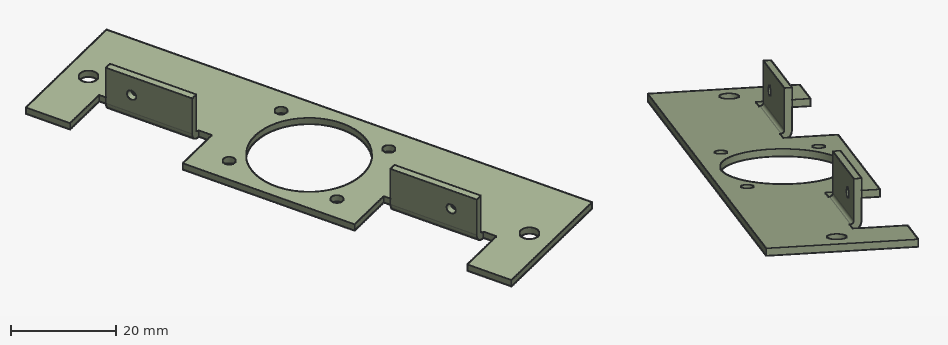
import cadquery as cq

plate_length = 108.0
plate_width = 29.6
thickness = 1.5

centre_bore_diameter = 24.0
screw_hole_diameter = 2.5
screw_spacing_x = centre_bore_diameter
screw_spacing_y = 19.0
mount_hole_diameter = 3.8
mount_spacing = 98.1

notch_offset = 31.6
notch_width = 25.1
notch_back_y = -4.1

tab_width = 19.2
tab_height = 10.5
tab_hole_offset = 35.5
tab_hole_height = 6.2
tab_hole_diameter = 2.0
bend_start_y = -4.3
bend_inner_radius = 0.6
bend_outer_radius = bend_inner_radius + thickness
tab_front_y = bend_start_y - bend_outer_radius
tab_back_y = tab_front_y + thickness


def make_plate():
    """Flat plate with its two notches and all vertical holes."""
    plate = cq.Workplane("XY").box(plate_length, plate_width, thickness, centered=(True, True, False))
    notch_depth = notch_back_y + plate_width / 2
    notch_centre_y = notch_back_y - notch_depth / 2
    notches = (
        cq.Workplane("XY")
        .pushPoints([(-notch_offset, notch_centre_y), (notch_offset, notch_centre_y)])
        .rect(notch_width, notch_depth)
        .extrude(thickness)
    )
    return (
        plate.cut(notches)
        .faces(">Z").workplane(origin=(0, 0, thickness))
        .hole(centre_bore_diameter)
        .rarray(screw_spacing_x, screw_spacing_y, 2, 2)
        .hole(screw_hole_diameter)
        .rarray(mount_spacing, 1.1, 2, 1)
        .hole(mount_hole_diameter)
    )


def make_tab(side):
    """Bent tab on the left (side = -1) or right (side = 1), with its cross hole."""
    profile = (
        cq.Workplane("YZ", origin=(side * notch_offset, 0, 0))
        .moveTo(notch_back_y, 0)
        .lineTo(bend_start_y, 0)
        .radiusArc((tab_front_y, bend_outer_radius), bend_outer_radius)
        .lineTo(tab_front_y, tab_height)
        .lineTo(tab_back_y, tab_height)
        .lineTo(tab_back_y, bend_outer_radius)
        .radiusArc((bend_start_y, thickness), -bend_inner_radius)
        .lineTo(notch_back_y, thickness)
        .close()
    )
    tab = profile.extrude(tab_width / 2, both=True)
    cross_hole = (
        cq.Workplane("XZ", origin=(side * tab_hole_offset, tab_back_y, tab_hole_height))
        .circle(tab_hole_diameter / 2)
        .extrude(thickness)
    )
    return tab.cut(cross_hole)


result = make_plate()
for side in (-1, 1):
    result = result.union(make_tab(side))